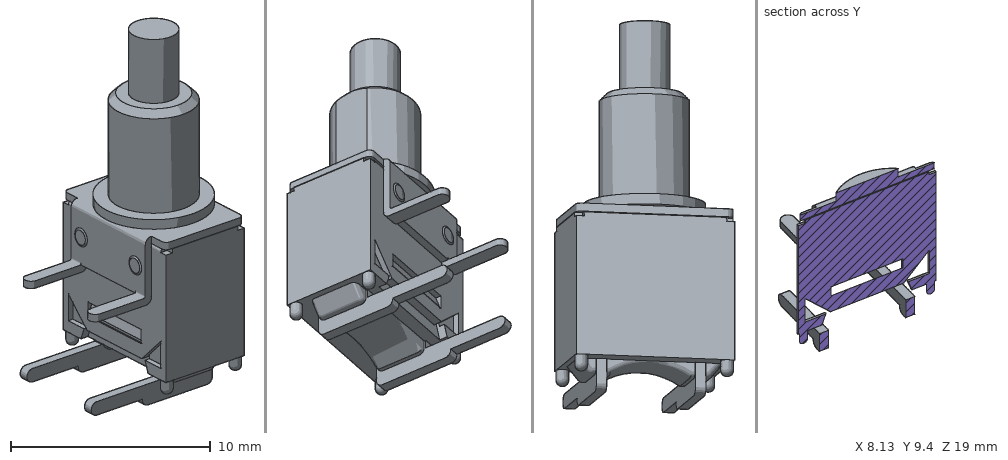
import cadquery as cq


OVERALL_Y = 9.4
OVERALL_Z = 18.99

BODY_X = 8.13
BODY_Y = 5.08
BODY_H = 7.28
FRONT_Y = -BODY_Y / 2
TOP_ROUND = 0.23
WALL = 0.41
CORNER_TOP_Z = BODY_H - TOP_ROUND

RAIL_H = 0.645
CORNER_LEG = 1.49
CORNER_DEPTH = 0.3
OPENING_X = 2.65
OPENING_LEAN = 0.37
OPENING_DEPTH = 0.45
SLOT_X = 4.2
SLOT_BOTTOM_Z = 1.46
SLOT_TOP_Z = 2.24
SLOT_LIP_H = 0.13
SLOT_LIP_DEPTH = 0.08
SLOT_DEPTH = 0.3

SHEET = 0.41
PLATE_X = 8.06
PLATE_CORNER_R = 0.3
PLATE_TOP_Z = BODY_H + SHEET
TERMINAL_X = 2.54
BRACKET_PIN_X = 0.78
BRACKET_PIN_Z = 3.98
BRACKET_PIN_END_Y = -6.25
BRACKET_X = 2 * TERMINAL_X + BRACKET_PIN_X
BRACKET_FRONT_Y = FRONT_Y - SHEET
BEND_R = 0.38
PIN_ROOT_R = 0.12

RIVET_X = 2.145
RIVET_Z = 5.92
RIVET_D = 1.0
RIVET_SHOULDER_D = 0.8
RIVET_SHOULDER = 0.05
RIVET_TIP_D = 0.4
RIVET_STAND = 0.07

FLANGE_D = 6.1
FLANGE_H = 0.53
FLANGE_TOP_Z = PLATE_TOP_Z + FLANGE_H
BUSHING_D = 4.58
BUSHING_TOP_Z = 13.82
BUSHING_CHAMFER = 0.38
BUSHING_FLAT_X = -2.08
PLUNGER_D = 2.54
PLUNGER_TOP_Z = 17.35

FOOT_D = 0.65
FOOT_STRAIGHT = 0.48

BASE_Y = 2.8
BASE_BOTTOM_X = 3.08
BASE_DROP = 0.77
BASE_LEAN = 0.85
BASE_EMBED = 0.3
ARCH_X = 2.05
ARCH_CROWN_Z = -0.17
BASE_EDGE_R = 0.3

BLADE_X = 0.54
BLADE_Y = 1.5
BLADE_FRONT_Y = -3.03
BLADE_BOTTOM_Z = PLUNGER_TOP_Z - OVERALL_Z
BLADE_PIN_TOP_Z = -0.475
BLADE_PIN_BOTTOM_Z = -1.225
BLADE_PIN_END_Y = FLANGE_D / 2 - OVERALL_Y
BLADE_CORNER_R = 0.36


def block(x0, x1, y0, y1, z0, z1):
    """Box given by its limits."""
    return cq.Workplane("XY").box(x1 - x0, y1 - y0, z1 - z0, centered=False).translate((x0, y0, z0))


def front_pocket(points, depth):
    """Cutter that sinks an XZ outline into the front face."""
    return cq.Workplane("XZ", origin=(0, FRONT_Y, 0)).polyline(points).close().extrude(-depth)


def corner_pocket(side):
    """Triangular pocket in a lower corner of the front face."""
    outer = BODY_X / 2 - WALL
    points = [
        (side * outer, RAIL_H),
        (side * (outer - CORNER_LEG), RAIL_H),
        (side * outer, RAIL_H + CORNER_LEG),
    ]
    return front_pocket(points, CORNER_DEPTH)


def bottom_opening():
    """Opening in the bottom rail; its slanted sides run up to the long sides of the corner pockets."""
    tip_x = BODY_X / 2 - WALL - CORNER_LEG
    rise = (OPENING_X - tip_x + RAIL_H) / (1 + OPENING_LEAN)
    half_outline = [
        (OPENING_X, 0),
        (OPENING_X - OPENING_LEAN * rise, rise),
        (tip_x, RAIL_H),
    ]
    mirrored = [(-x, z) for x, z in reversed(half_outline)]
    return front_pocket(half_outline + mirrored, OPENING_DEPTH)


def ramp_slot():
    """Slot in the front face whose floor gets deeper towards the top."""
    profile = [
        (FRONT_Y, SLOT_BOTTOM_Z),
        (FRONT_Y + SLOT_LIP_DEPTH, SLOT_BOTTOM_Z),
        (FRONT_Y + SLOT_LIP_DEPTH, SLOT_BOTTOM_Z + SLOT_LIP_H),
        (FRONT_Y + SLOT_DEPTH, SLOT_TOP_Z),
        (FRONT_Y, SLOT_TOP_Z),
    ]
    return cq.Workplane("YZ").polyline(profile).close().extrude(SLOT_X / 2, both=True)


def housing():
    half_x = BODY_X / 2
    body = cq.Workplane("XY").box(BODY_X, BODY_Y, BODY_H, centered=(True, True, False))
    body = body.edges(">Z and |X").fillet(TOP_ROUND)
    half_y = BODY_Y / 2
    for x in (-half_x, half_x - WALL):
        for y in (-half_y, half_y - WALL):
            body = body.cut(block(x, x + WALL, y, y + WALL, CORNER_TOP_Z, BODY_H))
    body = body.cut(bottom_opening()).cut(ramp_slot())
    for side in (-1, 1):
        body = body.cut(corner_pocket(side))
    return body


def top_plate():
    plate = cq.Workplane("XY", origin=(0, 0, BODY_H)).rect(PLATE_X, BODY_Y).extrude(SHEET)
    return plate.edges("|Z").fillet(PLATE_CORNER_R)


def bracket_pin(x):
    """Round-ended pin that sticks out of the bracket at the bottom bend."""
    half = BRACKET_PIN_X / 2
    top = BRACKET_PIN_Z + SHEET
    tip_y = BRACKET_PIN_END_Y + half
    bar = block(x - half, x + half, tip_y, FRONT_Y, BRACKET_PIN_Z, top)
    bar = bar.edges(">Y and <Z").fillet(BEND_R)
    tip = cq.Workplane("XY", origin=(x, tip_y, BRACKET_PIN_Z)).circle(half).extrude(SHEET)
    root = (
        cq.Workplane("YZ", origin=(x - half, 0, 0))
        .moveTo(BRACKET_FRONT_Y, top)
        .lineTo(BRACKET_FRONT_Y - PIN_ROOT_R, top)
        .radiusArc((BRACKET_FRONT_Y, top + PIN_ROOT_R), -PIN_ROOT_R)
        .close()
        .extrude(BRACKET_PIN_X)
    )
    return bar.union(tip).union(root)


def rivet(x):
    """Low rivet head: a steep rim cone below a flat tip cone."""
    profile = [
        (0, 0),
        (RIVET_D / 2, 0),
        (RIVET_SHOULDER_D / 2, -RIVET_SHOULDER),
        (RIVET_TIP_D / 2, -RIVET_STAND),
        (0, -RIVET_STAND),
    ]
    head = cq.Workplane("XY").polyline(profile).close().revolve(360, (0, 0, 0), (0, 1, 0))
    return head.translate((x, BRACKET_FRONT_Y, RIVET_Z))


def bracket():
    half = BRACKET_X / 2
    sheet = block(-half, half, BRACKET_FRONT_Y, FRONT_Y, BRACKET_PIN_Z + SHEET, PLATE_TOP_Z)
    sheet = sheet.edges("<Y and >Z").fillet(BEND_R)
    for side in (-1, 1):
        sheet = sheet.union(bracket_pin(side * TERMINAL_X))
        sheet = sheet.union(rivet(side * RIVET_X))
    return sheet


def bushing_and_plunger():
    flange = cq.Workplane("XY", origin=(0, 0, PLATE_TOP_Z)).circle(FLANGE_D / 2).extrude(FLANGE_H)
    barrel = (
        cq.Workplane("XY", origin=(0, 0, FLANGE_TOP_Z))
        .circle(BUSHING_D / 2)
        .extrude(BUSHING_TOP_Z - FLANGE_TOP_Z)
        .faces(">Z")
        .chamfer(BUSHING_CHAMFER)
    )
    radius = BUSHING_D / 2
    barrel = barrel.cut(block(-BUSHING_D, BUSHING_FLAT_X, -radius, radius, FLANGE_TOP_Z, BUSHING_TOP_Z))
    plunger_h = PLUNGER_TOP_Z - BUSHING_TOP_Z
    plunger = cq.Workplane("XY", origin=(0, 0, BUSHING_TOP_Z)).circle(PLUNGER_D / 2).extrude(plunger_h)
    return flange.union(barrel).union(plunger)


def foot(x, y):
    """Standoff foot with a hemispherical end."""
    radius = FOOT_D / 2
    stem = cq.Workplane("XY", origin=(x, y, 0)).circle(radius).extrude(-FOOT_STRAIGHT)
    tip = cq.Workplane("XY", origin=(x, y, -FOOT_STRAIGHT)).sphere(radius)
    return stem.union(tip)


def base_block():
    """Rounded block with slanted ends and an arched underside, partly inside the housing."""
    top_x = BASE_BOTTOM_X + BASE_LEAN * (BASE_DROP + BASE_EMBED)
    base = (
        cq.Workplane("XZ", origin=(0, BASE_Y / 2, 0))
        .moveTo(-top_x, BASE_EMBED)
        .lineTo(-BASE_BOTTOM_X, -BASE_DROP)
        .lineTo(-ARCH_X, -BASE_DROP)
        .threePointArc((0, ARCH_CROWN_Z), (ARCH_X, -BASE_DROP))
        .lineTo(BASE_BOTTOM_X, -BASE_DROP)
        .lineTo(top_x, BASE_EMBED)
        .close()
        .extrude(BASE_Y)
    )
    outline_edges = base.faces("<Y or >Y").edges("not >Z")
    end_edges = base.faces("<Z").edges("<X").add(base.faces("<Z").edges(">X"))
    return outline_edges.add(end_edges).fillet(BASE_EDGE_R)


def lower_terminal(x):
    """Flat blade with a round-ended pin towards the front."""
    tip_r = (BLADE_PIN_TOP_Z - BLADE_PIN_BOTTOM_Z) / 2
    blade = (
        cq.Workplane("YZ", origin=(x, 0, 0))
        .moveTo(BLADE_Y, 0)
        .lineTo(BLADE_Y, BLADE_BOTTOM_Z)
        .lineTo(BLADE_FRONT_Y, BLADE_BOTTOM_Z)
        .lineTo(BLADE_FRONT_Y, BLADE_PIN_BOTTOM_Z)
        .lineTo(BLADE_PIN_END_Y + tip_r, BLADE_PIN_BOTTOM_Z)
        .threePointArc(
            (BLADE_PIN_END_Y, BLADE_PIN_BOTTOM_Z + tip_r),
            (BLADE_PIN_END_Y + tip_r, BLADE_PIN_TOP_Z),
        )
        .lineTo(-BLADE_Y, BLADE_PIN_TOP_Z)
        .lineTo(-BLADE_Y, 0)
        .close()
        .extrude(BLADE_X / 2, both=True)
    )
    return blade.faces("<Z").edges("|X").fillet(BLADE_CORNER_R)


result = housing().union(top_plate()).union(bracket()).union(bushing_and_plunger()).union(base_block())
for side in (-1, 1):
    result = result.union(lower_terminal(side * TERMINAL_X))
    for end in (-1, 1):
        result = result.union(foot(side * (BODY_X - FOOT_D) / 2, end * (BODY_Y - FOOT_D) / 2))